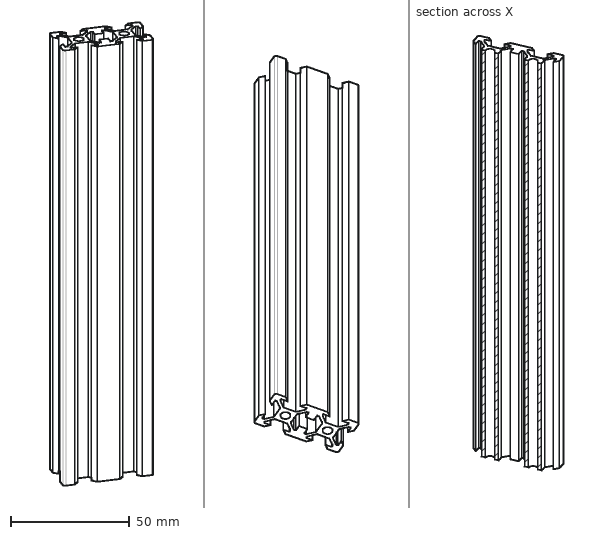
import cadquery as cq
import math

cell = 20.0
length = 200.0
half = cell / 2
cell_centers = [(0, -half), (0, half)]

mouth_half = 5.0
throat_half = 3.0
lip_depth = 2.0
cavity_half = 6.0

core_half = 4.0
web_thickness = 1.5
bore_diameter = 4.2
corner_radius = 1.0

web_offset = web_thickness / math.sqrt(2)
lip_underside = half - lip_depth


def mirrored(right_side):
    """Close an outline from its right-hand points by reflecting them in x = 0."""
    return right_side + [(-x, y) for x, y in reversed(right_side)]


def prism(points):
    return cq.Workplane("XY").polyline(points).close().extrude(length)


cavity_points = [
    (core_half - web_offset, core_half),
    (cavity_half, cavity_half + web_offset),
    (cavity_half, lip_underside),
]


def outer_slot():
    mouth_points = [(throat_half, lip_underside), (mouth_half, half)]
    return prism(mirrored(cavity_points + mouth_points))


def joining_slot():
    """Straight passage that meets its twin from the neighbouring cell."""
    passage_points = [(throat_half, lip_underside), (throat_half, half)]
    return prism(mirrored(cavity_points + passage_points))


def place(slot, angle, center):
    return slot.rotate((0, 0, 0), (0, 0, 1), angle).translate((*center, 0))


bar = cq.Workplane("XY").box(cell, 2 * cell, length, centered=(True, True, False))
bar = bar.edges("|Z").fillet(corner_radius)

for center, end_angle, joining_angle in zip(cell_centers, (180, 0), (0, 180)):
    for angle in (90, -90, end_angle):
        bar = bar.cut(place(outer_slot(), angle, center))
    bar = bar.cut(place(joining_slot(), joining_angle, center))

bores = cq.Workplane("XY").pushPoints(cell_centers).circle(bore_diameter / 2).extrude(length)
result = bar.cut(bores)